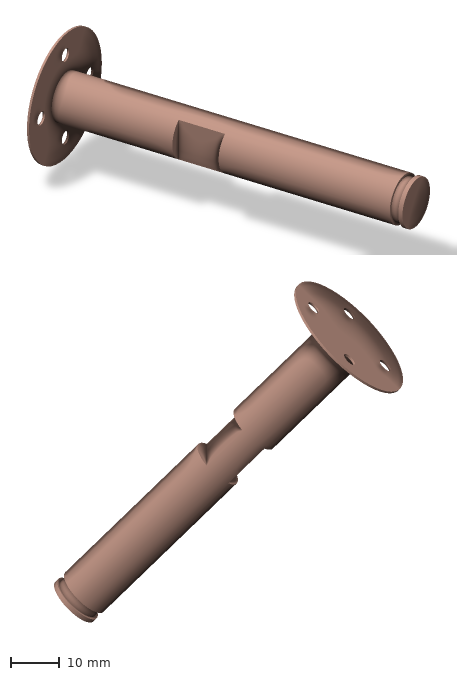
import cadquery as cq

total_length = 84.0
flange_diameter = 30.0
flange_thickness = 0.5
shaft_diameter = 11.3

hole_diameter = 3.0
hole_circle_diameter = 20.0
hole_count = 4

groove_diameter = 10.0
groove_width = 2.0
end_collar_width = 1.0

flat_start = 29.2
flat_length = 11.0
across_flats = 6.05


def disc(start, length, diameter):
    """Solid cylinder along X, beginning at X = start."""
    return cq.Workplane("YZ").workplane(offset=start).circle(diameter / 2).extrude(length)


def flange():
    """Thin round plate with a ring of through holes."""
    holes = (
        cq.Workplane("YZ")
        .polarArray(hole_circle_diameter / 2, 0, 360, hole_count)
        .circle(hole_diameter / 2)
        .extrude(flange_thickness)
    )
    return disc(0, flange_thickness, flange_diameter).cut(holes)


def groove():
    """Ring of material removed to form the retaining groove."""
    start = total_length - end_collar_width - groove_width
    outer = disc(start, groove_width, shaft_diameter)
    return outer.cut(disc(start, groove_width, groove_diameter))


def wrench_flats():
    """Material removed on both sides of the shaft, leaving the across-flats web."""
    slab = cq.Workplane("XY").box(
        flat_length, shaft_diameter, shaft_diameter, centered=(False, True, True)
    )
    web = cq.Workplane("XY").box(
        flat_length, across_flats, shaft_diameter, centered=(False, True, True)
    )
    return slab.cut(web).translate((flat_start, 0, 0))


shaft = disc(flange_thickness, total_length - flange_thickness, shaft_diameter)
shaft = shaft.cut(groove()).cut(wrench_flats())
result = flange().union(shaft)